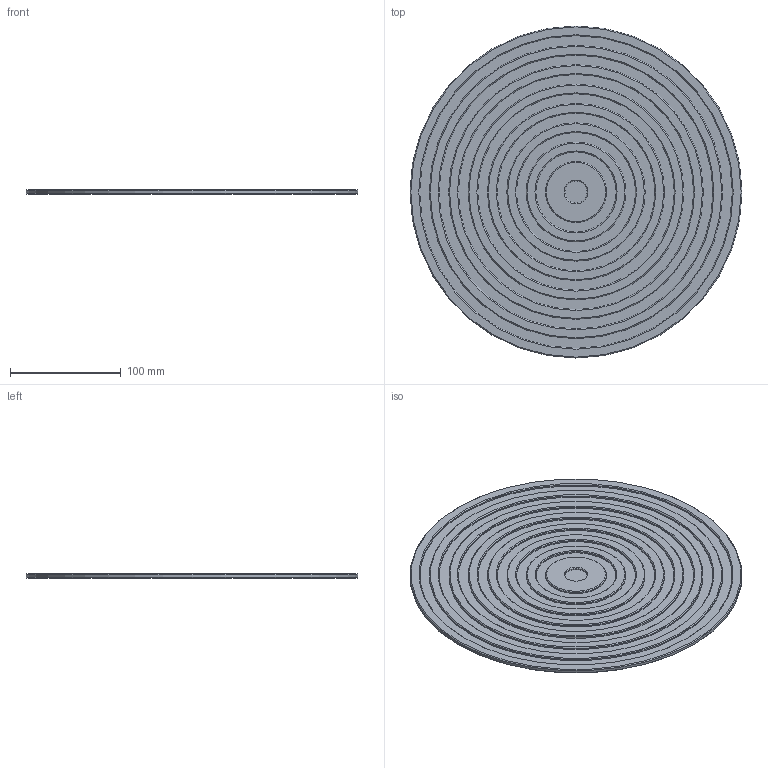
import cadquery as cq

plate_diameter = 300.0
plate_thickness = 4.0

first_groove_inner_diameter = 55.0
ring_diameter_step = 17.5
groove_count = 7

recess_diameter = 20.0

cut_depth = plate_thickness / 2

edge_chamfer = 0.8


def plate():
    return cq.Workplane("XY").circle(plate_diameter / 2).extrude(plate_thickness)


def top_plane():
    return cq.Workplane("XY", origin=(0, 0, plate_thickness))


def centre_recess():
    """Round cutter that reaches cut_depth below the top face."""
    return top_plane().circle(recess_diameter / 2).extrude(-cut_depth)


def groove(inner_diameter):
    """Ring-shaped cutter that reaches cut_depth below the top face."""
    outer_diameter = inner_diameter + ring_diameter_step
    return (
        top_plane()
        .circle(outer_diameter / 2)
        .circle(inner_diameter / 2)
        .extrude(-cut_depth)
    )


def chamfer_edges(body):
    """Chamfer every edge of the top faces and the lower edge of the rim."""
    body = body.faces(">Z").edges().chamfer(edge_chamfer)
    return body.faces("<Z").edges().chamfer(edge_chamfer)


body = plate().cut(centre_recess())
for index in range(groove_count):
    inner_diameter = first_groove_inner_diameter + 2 * index * ring_diameter_step
    body = body.cut(groove(inner_diameter))

result = chamfer_edges(body)